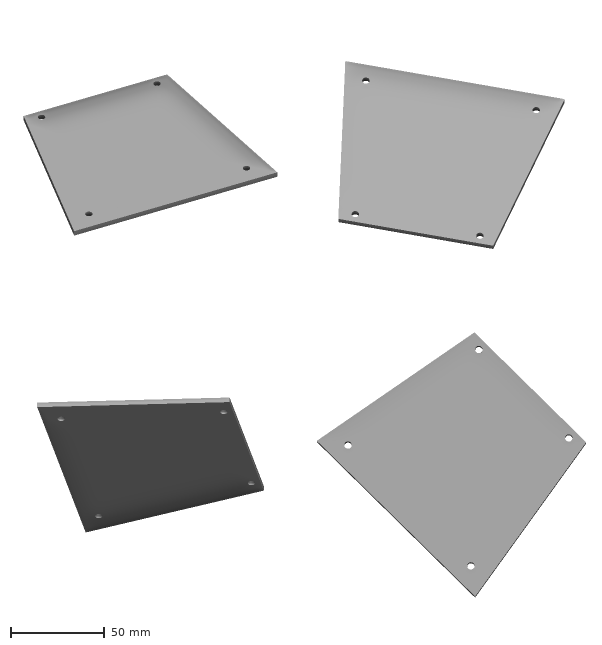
import cadquery as cq

length = 101.5
wide_end = 120.0
narrow_end = 84.7
thickness = 3.0

hole_diameter = 4.0
narrow_hole_inset = 4.9
wide_hole_inset = 10.2
narrow_hole_spacing = 68.2
wide_hole_spacing = 93.1

narrow_x = -length / 2
wide_x = length / 2


def make_plate():
    outline = [
        (narrow_x, -narrow_end / 2),
        (wide_x, -wide_end / 2),
        (wide_x, wide_end / 2),
        (narrow_x, narrow_end / 2),
    ]
    return cq.Workplane("XY").polyline(outline).close().extrude(thickness)


def hole_pair(x, spacing):
    return [(x, -spacing / 2), (x, spacing / 2)]


hole_centers = (
    hole_pair(narrow_x + narrow_hole_inset, narrow_hole_spacing)
    + hole_pair(wide_x - wide_hole_inset, wide_hole_spacing)
)

result = make_plate().faces(">Z").workplane(origin=(0, 0, 0)).pushPoints(hole_centers).hole(hole_diameter)